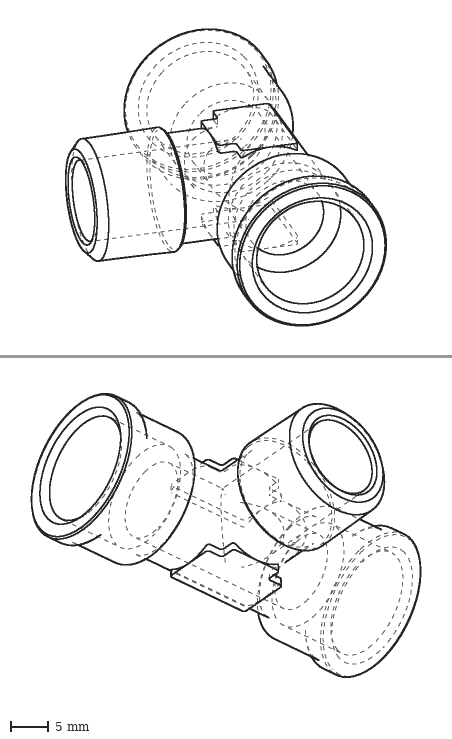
import cadquery as cq
import math

run_length = 51.0
branch_reach = 24.5
pipe_radius = 15.0 / 2
bore_radius = 11.0 / 2

collar_radius = 21.0 / 2
collar_length = 2.45
collar_edge_chamfer = 0.25
collar_step_length = 1.55
socket_radius = 19.5 / 2
socket_length = 12.05
taper_angle = 60
taper_fillet = 1.0
socket_bore_radius = 7.55
socket_mouth_radius = 8.45
socket_bore_depth = 11.2

branch_neck_end = 11.6
shoulder_root_radius = 0.7
thread_start = 12.6
thread_start_radius = 8.45
thread_end_radius = 8.3
thread_chamfer_length = 1.2
tip_radius = 7.05
branch_mouth_radius = 5.95

pad_width = 13.05
pad_half_depth = 4.0
pad_tab_width = 8.05
pad_tab_reach = 6.45
pad_corner_radius = 0.4

crotch_fillet = 0.5

half_run = run_length / 2
taper_slope = math.tan(math.radians(taper_angle))


def step_arc_radius(length, drop):
    """Radius of an arc that starts level and falls by drop over length."""
    return (length**2 + drop**2) / (2 * drop)


def socket_outer():
    """Collar, socket and taper of the -X end, turned about the X axis."""
    step_end = collar_length + collar_step_length
    step_middle = (collar_length + collar_step_length / 2, (collar_radius + socket_radius) / 2)
    step_radius = step_arc_radius(collar_step_length / 2, (collar_radius - socket_radius) / 2)
    taper_end = socket_length + (socket_radius - pipe_radius) / taper_slope

    body = (
        cq.Workplane("XY")
        .lineTo(0, collar_radius - collar_edge_chamfer)
        .lineTo(collar_edge_chamfer, collar_radius)
        .lineTo(collar_length, collar_radius)
        .radiusArc(step_middle, step_radius)
        .radiusArc((step_end, socket_radius), -step_radius)
        .lineTo(socket_length, socket_radius)
        .lineTo(taper_end, pipe_radius)
        .lineTo(half_run, pipe_radius)
        .lineTo(half_run, 0)
        .close()
        .revolve(360, (0, 0, 0), (1, 0, 0))
    )
    taper_edges = cq.selectors.BoxSelector(
        (step_end + collar_length, -collar_radius, -collar_radius),
        (half_run - collar_length, collar_radius, collar_radius),
        boundingbox=True,
    )
    return body.edges(taper_edges).fillet(taper_fillet).translate((-half_run, 0, 0))


def branch_outer():
    """Neck, shoulder and tapered thread body, turned about the Y axis."""
    shoulder_root = (pipe_radius + shoulder_root_radius, -branch_neck_end - shoulder_root_radius)
    return (
        cq.Workplane("XY")
        .lineTo(pipe_radius, 0)
        .lineTo(pipe_radius, -branch_neck_end)
        .radiusArc(shoulder_root, -shoulder_root_radius)
        .lineTo(thread_start_radius, -thread_start)
        .lineTo(thread_end_radius, thread_chamfer_length - branch_reach)
        .lineTo(tip_radius, -branch_reach)
        .lineTo(0, -branch_reach)
        .close()
        .revolve(360, (0, 0, 0), (0, 1, 0))
    )


def pads():
    """T-shaped block whose end faces touch the pipe at its top and bottom."""
    outline = [
        (-pad_width / 2, pad_half_depth),
        (pad_width / 2, pad_half_depth),
        (pad_width / 2, -pad_half_depth),
        (pad_tab_width / 2, -pad_half_depth),
        (pad_tab_width / 2, -pad_tab_reach),
        (-pad_tab_width / 2, -pad_tab_reach),
        (-pad_tab_width / 2, -pad_half_depth),
        (-pad_width / 2, -pad_half_depth),
    ]
    return (
        cq.Workplane("XY")
        .polyline(outline)
        .close()
        .extrude(pipe_radius, both=True)
        .edges("|Z")
        .fillet(pad_corner_radius)
    )


def socket_bore():
    """Chamfered mouth, socket bore and conical floor of the -X end."""
    mouth_chamfer = socket_mouth_radius - socket_bore_radius
    cone_length = (socket_bore_radius - bore_radius) / taper_slope
    outline = [
        (0, 0),
        (0, socket_mouth_radius),
        (mouth_chamfer, socket_bore_radius),
        (socket_bore_depth, socket_bore_radius),
        (socket_bore_depth + cone_length, bore_radius),
        (half_run, bore_radius),
        (half_run, 0),
    ]
    return (
        cq.Workplane("XY")
        .polyline(outline)
        .close()
        .revolve(360, (0, 0, 0), (1, 0, 0))
        .translate((-half_run, 0, 0))
    )


def branch_bore():
    """Through bore of the branch with a chamfered mouth."""
    outline = [
        (0, 0),
        (bore_radius, 0),
        (bore_radius, branch_mouth_radius - bore_radius - branch_reach),
        (branch_mouth_radius, -branch_reach),
        (0, -branch_reach),
    ]
    return cq.Workplane("XY").polyline(outline).close().revolve(360, (0, 0, 0), (0, 1, 0))


left_outer = socket_outer()
outside = left_outer.union(left_outer.mirror("YZ")).union(branch_outer()).union(pads())

crotch_edges = cq.selectors.BoxSelector(
    (-pipe_radius, -pipe_radius, -bore_radius),
    (pipe_radius, -pad_half_depth, bore_radius),
)
outside = outside.edges(crotch_edges).fillet(crotch_fillet)

left_bore = socket_bore()
result = outside.cut(left_bore).cut(left_bore.mirror("YZ")).cut(branch_bore())